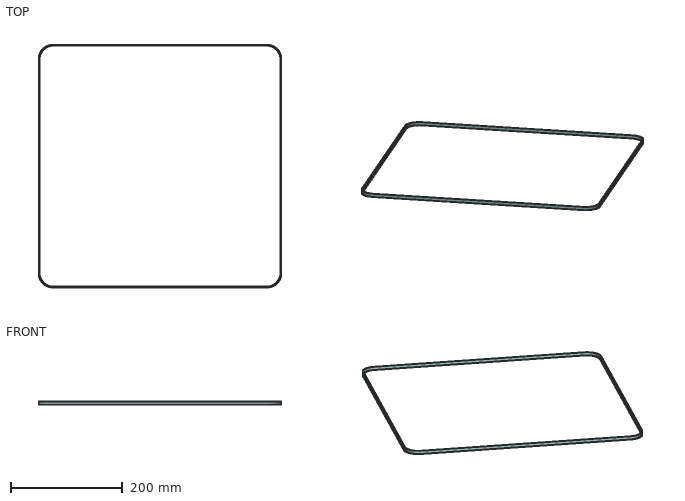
import cadquery as cq

side = 434.5
height = 6.0
wall = 2.0
corner_radius = 26.0


def rounded_square(width, radius):
    """Upright square prism with rounded vertical edges, centred on the origin."""
    return cq.Workplane("XY").box(width, width, height).edges("|Z").fillet(radius)


outer = rounded_square(side, corner_radius)
opening = rounded_square(side - 2 * wall, corner_radius - wall)
result = outer.cut(opening)